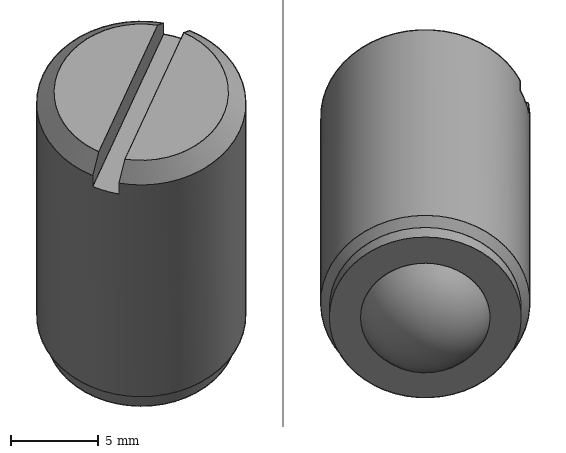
import cadquery as cq

total_length = 24.5
body_diameter = 12.0
collar_diameter = 11.0
collar_height = 1.0
top_chamfer = 1.0
ball_diameter = 8.0
ball_protrusion = 2.5
slot_width = 1.6
slot_depth = 2.0

body_radius = body_diameter / 2
collar_radius = collar_diameter / 2
ball_radius = ball_diameter / 2
lower_chamfer = body_radius - collar_radius

collar_bottom = ball_protrusion
collar_top = collar_bottom + collar_height


def make_body():
    """Revolve the half profile of the collar and the chamfered cylinder."""
    return (
        cq.Workplane("XZ")
        .moveTo(0, collar_bottom)
        .lineTo(collar_radius, collar_bottom)
        .lineTo(collar_radius, collar_top)
        .lineTo(body_radius, collar_top + lower_chamfer)
        .lineTo(body_radius, total_length - top_chamfer)
        .lineTo(body_radius - top_chamfer, total_length)
        .lineTo(0, total_length)
        .close()
        .revolve(360, (0, 0), (0, 1))
    )


def make_ball():
    """Ball seated in the lower end, touching Z = 0."""
    return cq.Workplane("XY").sphere(ball_radius).translate((0, 0, ball_radius))


def make_slot():
    """Screwdriver slot running along Y through the top face."""
    return (
        cq.Workplane("XY")
        .workplane(offset=total_length - slot_depth)
        .rect(slot_width, body_diameter)
        .extrude(slot_depth)
    )


result = make_body().union(make_ball()).cut(make_slot())